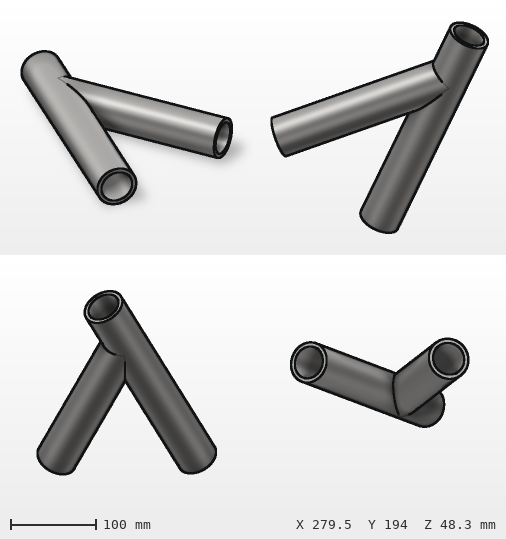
import cadquery as cq

run_length = 279.5
outer_diameter = 48.3
bore_diameter = 38.0
branch_angle = 45.0
branch_length = 216.0
branch_offset = 63.1


def run_cylinder(diameter):
    """Cylinder along X, with the crossing of the axes at the origin."""
    return (
        cq.Workplane("YZ", origin=(-branch_offset, 0, 0))
        .circle(diameter / 2)
        .extrude(run_length)
    )


def branch_cylinder(diameter):
    """Cylinder from the origin, leaning from +X toward +Y by the branch angle."""
    return (
        cq.Workplane("YZ")
        .circle(diameter / 2)
        .extrude(branch_length)
        .rotate((0, 0, 0), (0, 0, 1), branch_angle)
    )


body = run_cylinder(outer_diameter).union(branch_cylinder(outer_diameter))
result = body.cut(run_cylinder(bore_diameter)).cut(branch_cylinder(bore_diameter))